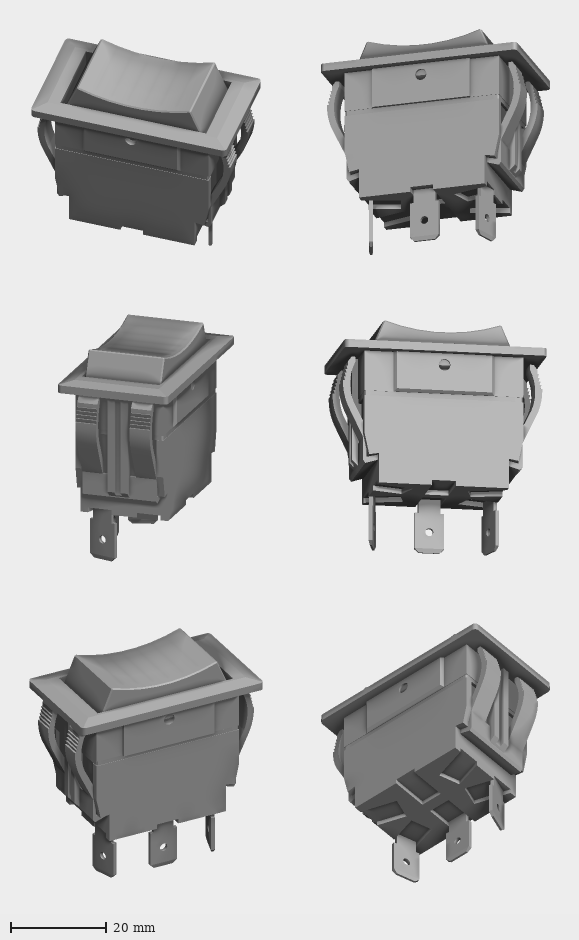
import cadquery as cq


BEZEL_LENGTH = 43.2
BEZEL_WIDTH = 24.5
BEZEL_EDGE_HEIGHT = 1.7
BEZEL_HEIGHT = 2.3
BEZEL_SLOPE_RUN = 2.9
BEZEL_CORNER_RADIUS = 0.9

OPENING_LENGTH = 32.2
OPENING_WIDTH = 17.4
POCKET_FLOOR_Z = -4.6

BODY_HALF_X = 16.97
BODY_HALF_Y = 9.75
SLANT_TOP_Z = -17.75
SLANT_END_X = 15.95
SLANT_END_Z = -22.4
LEDGE_INNER_Z = -22.05
BASE_HALF_X = 13.85
BASE_Z = -28.45

BAND_TOP_Z = -8.6
BAND_BOTTOM_Z = -9.65
BAND_DEPTH = 0.1
BAND_CORNER = 0.28

PANEL_LENGTH = 21.55
PANEL_FACE_Y = 10.4
PANEL_BEVEL = 0.6

RIB_HALF_X = 18.2
RIB_WIDTH = 4.5
RIB_CHAMFER_Z = -21.85
RIB_GROOVE_WIDTH = 1.4
RIB_GROOVE_FLOOR_X = 17.35

ROCKER_WIDTH = 16.95
ROCKER_TIP_X = 12.5
ROCKER_TIP_Z = 7.2
ROCKER_DIP_Z = 5.1
ROCKER_SHOULDER_X = 15.5
ROCKER_SHOULDER_Z = 0.25
ROCKER_BOTTOM_Z = -4.15
ROCKER_EDGE_BEVEL = 0.28

PIVOT_DIAMETER = 2.5
PIVOT_Z = -2.5
PIVOT_TIP_Y = 9.95
PIVOT_LEAD_IN_DEPTH = 1.0
PIVOT_LEAD_IN_HEIGHT = 0.65

CLIP_WIDTH = 16.45
CLIP_PLATE_TOP_Z = -18.4
CLIP_PLATE_THICKNESS = 0.75
CLIP_SEAT_X = BODY_HALF_X - CLIP_PLATE_THICKNESS
CLIP_PLATE_BOTTOM_Z = -23.3
CLIP_HEEL = (16.5, -23.95)
CLIP_TOE_BOTTOM_Z = -23.15
CLIP_FOOT_ROOT_Z = -22.6

FINGER_WIDTH = 4.5
FINGER_TIP_INNER = (18.65, -1.05)
FINGER_TIP_OUTER = (19.45, -1.05)
FINGER_TIP_SHOULDER = (20.25, -2.1)
FINGER_OUTER_BULGE = (21.15, -8.4)
FINGER_OUTER_BEND = (19.85, -12.4)
FINGER_ROOT_Z = -16.38
FINGER_INNER_BEND = (18.95, -11.0)
FINGER_INNER_BULGE = (19.8, -6.7)
FINGER_INNER_TOP = (18.65, -2.1)
TOOTH_COUNT = 5
TOOTH_PITCH = 0.8
TOOTH_TOP_Z = -3.05
TOOTH_FIRST_CREST_X = 20.55
TOOTH_CREST_STEP = 0.2
TOOTH_DEPTH = 0.25

BLADE_WIDTH = 6.35
BLADE_THICKNESS = 0.85
BLADE_BOTTOM_Z = -38.85
BLADE_SHOULDER_Z = -30.3
BLADE_POINT_HEIGHT = 0.9
BLADE_EDGE_TAPER = 0.2
BLADE_HOLE_DIAMETER = 1.7
BLADE_HOLE_Z = -34.4
NECK_WIDTH = 4.75
SLOT_WIDTH = 5.05
SLOT_INNER_REACH = 6.25
SLOT_OUTER_REACH = 3.7
SLOT_TOP_Z = -27.35
END_TERMINAL_Y = 5.05
MIDDLE_TERMINAL_Y = 7.5
TERMINAL_SPACING = 12.6
TERMINAL_FAN_ANGLE = 17.0


def block(x_min, x_max, y_min, y_max, z_min, z_max):
    """Axis-aligned box between the given limits."""
    size = (x_max - x_min, y_max - y_min, z_max - z_min)
    return cq.Workplane("XY").box(*size, centered=False).translate((x_min, y_min, z_min))


def side_profile(width):
    """Workplane in the XZ plane that starts an extrusion of the given width, centred on Y = 0."""
    return cq.Workplane("XZ", origin=(0, width / 2, 0))


def both_ends(body):
    """The +X body together with its mirror image at -X."""
    return [body, body.mirror("YZ")]


def make_bezel():
    rounded_plate = (
        cq.Workplane("XY")
        .rect(BEZEL_LENGTH, BEZEL_WIDTH)
        .extrude(BEZEL_HEIGHT)
        .edges("|Z")
        .fillet(BEZEL_CORNER_RADIUS)
    )
    lower = cq.Workplane("XY").rect(BEZEL_LENGTH, BEZEL_WIDTH).extrude(BEZEL_EDGE_HEIGHT)
    slopes = (
        cq.Workplane("XY", origin=(0, 0, BEZEL_EDGE_HEIGHT))
        .rect(BEZEL_LENGTH, BEZEL_WIDTH)
        .workplane(offset=BEZEL_HEIGHT - BEZEL_EDGE_HEIGHT)
        .rect(BEZEL_LENGTH - 2 * BEZEL_SLOPE_RUN, BEZEL_WIDTH - 2 * BEZEL_SLOPE_RUN)
        .loft(ruled=True)
    )
    return rounded_plate.intersect(lower.union(slopes))


def make_body():
    half_outline = [
        (BODY_HALF_X, 0),
        (BODY_HALF_X, SLANT_TOP_Z),
        (SLANT_END_X, SLANT_END_Z),
        (BASE_HALF_X, LEDGE_INNER_Z),
        (BASE_HALF_X, BASE_Z),
    ]
    mirrored = [(-x, z) for x, z in reversed(half_outline)]
    width = 2 * BODY_HALF_Y
    return side_profile(width).polyline(half_outline + mirrored).close().extrude(width)


def make_band_cut():
    """Frame that is removed to leave the shallow band."""
    height = BAND_TOP_Z - BAND_BOTTOM_Z
    start = cq.Workplane("XY", origin=(0, 0, BAND_BOTTOM_Z))
    outer = start.rect(2 * BODY_HALF_X, 2 * BODY_HALF_Y).extrude(height)
    inner = (
        start.rect(2 * (BODY_HALF_X - BAND_DEPTH), 2 * (BODY_HALF_Y - BAND_DEPTH))
        .extrude(height)
        .edges("|Z")
        .chamfer(BAND_CORNER)
    )
    return outer.cut(inner)


def make_panels():
    """Panel with bevelled edges on the -Y side and a plain one on the +Y side."""
    half_length = PANEL_LENGTH / 2
    front = block(-half_length, half_length, -PANEL_FACE_Y, 0, BAND_TOP_Z, 0)
    bevelled = front.faces("<Y").edges("|Z or <Z").chamfer(PANEL_BEVEL)
    return bevelled.union(block(-half_length, half_length, 0, PANEL_FACE_Y, BAND_TOP_Z, 0))


def make_clip_recess():
    """Recess in the +X wall, between the band and the ledge, that seats the clip."""
    half_width = CLIP_WIDTH / 2
    return block(CLIP_SEAT_X, BODY_HALF_X, -half_width, half_width, SLANT_END_Z, BAND_BOTTOM_Z)


def make_rib():
    """Guide rib at +X; its lower end is chamfered at 45 degrees."""
    rib_bottom_z = RIB_CHAMFER_Z - (RIB_HALF_X - BODY_HALF_X)
    outline = [
        (CLIP_SEAT_X, 0),
        (RIB_HALF_X, 0),
        (RIB_HALF_X, RIB_CHAMFER_Z),
        (BODY_HALF_X, rib_bottom_z),
        (BODY_HALF_X, CLIP_PLATE_TOP_Z),
        (CLIP_SEAT_X, CLIP_PLATE_TOP_Z),
    ]
    rib = side_profile(RIB_WIDTH).polyline(outline).close().extrude(RIB_WIDTH)
    half_groove = RIB_GROOVE_WIDTH / 2
    return rib.cut(block(RIB_GROOVE_FLOOR_X, RIB_HALF_X, -half_groove, half_groove, rib_bottom_z, 0))


def terminal_y(column):
    """Distance of a terminal from the XZ plane; the middle one sits closer to the long side."""
    return END_TERMINAL_Y if column else MIDDLE_TERMINAL_Y


def terminal_slot(column, row):
    """Slot that runs outward through a terminal position and opens through the base wall.

    column is -1, 0 or 1 along X and row is -1 or 1 along Y.
    """
    slot = block(
        -SLOT_WIDTH / 2, SLOT_WIDTH / 2, -SLOT_INNER_REACH, SLOT_OUTER_REACH, BASE_Z, SLOT_TOP_Z
    )
    if column:
        turn = column * (TERMINAL_FAN_ANGLE * row - 90)
    else:
        turn = 90 * (1 - row)
    centre = (column * TERMINAL_SPACING, row * terminal_y(column), 0)
    return slot.rotate((0, 0, 0), (0, 0, 1), turn).translate(centre)


def make_housing():
    housing = make_bezel().union(make_body()).cut(make_band_cut()).union(make_panels())
    for recess in both_ends(make_clip_recess()):
        housing = housing.cut(recess)
    for rib in both_ends(make_rib()):
        housing = housing.union(rib)
    housing = housing.cut(
        block(
            -OPENING_LENGTH / 2, OPENING_LENGTH / 2,
            -OPENING_WIDTH / 2, OPENING_WIDTH / 2,
            POCKET_FLOOR_Z, BEZEL_HEIGHT,
        )
    )
    pivot_hole = (
        cq.Workplane("XZ")
        .center(0, PIVOT_Z)
        .circle(PIVOT_DIAMETER / 2)
        .extrude(PANEL_FACE_Y, both=True)
    )
    housing = housing.cut(pivot_hole)
    for column in (-1, 0, 1):
        for row in (-1, 1):
            housing = housing.cut(terminal_slot(column, row))
    return housing


def make_pivot():
    """Pivot pins on both sides; the lower half of each end is set back below a short slope."""
    radius = PIVOT_DIAMETER / 2
    pins = (
        cq.Workplane("XZ")
        .center(0, PIVOT_Z)
        .circle(radius)
        .extrude(PIVOT_TIP_Y, both=True)
    )
    lead_in = (
        cq.Workplane("YZ", origin=(-radius, 0, 0))
        .polyline([
            (-PIVOT_TIP_Y, PIVOT_Z),
            (-PIVOT_TIP_Y, PIVOT_Z - radius),
            (-PIVOT_TIP_Y + PIVOT_LEAD_IN_DEPTH, PIVOT_Z - radius),
            (-PIVOT_TIP_Y + PIVOT_LEAD_IN_DEPTH, PIVOT_Z - PIVOT_LEAD_IN_HEIGHT),
        ])
        .close()
        .extrude(PIVOT_DIAMETER)
    )
    return pins.cut(lead_in).cut(lead_in.mirror("XZ"))


def make_rocker():
    rocker = (
        side_profile(ROCKER_WIDTH)
        .moveTo(-ROCKER_TIP_X, ROCKER_TIP_Z)
        .threePointArc((0, ROCKER_DIP_Z), (ROCKER_TIP_X, ROCKER_TIP_Z))
        .lineTo(ROCKER_SHOULDER_X, ROCKER_SHOULDER_Z)
        .lineTo(ROCKER_SHOULDER_X, ROCKER_BOTTOM_Z)
        .lineTo(-ROCKER_SHOULDER_X, ROCKER_BOTTOM_Z)
        .lineTo(-ROCKER_SHOULDER_X, ROCKER_SHOULDER_Z)
        .close()
        .extrude(ROCKER_WIDTH)
    )
    above_shoulder = cq.selectors.BoxSelector(
        (-BEZEL_LENGTH, -BEZEL_WIDTH, ROCKER_SHOULDER_Z + ROCKER_EDGE_BEVEL),
        (BEZEL_LENGTH, BEZEL_WIDTH, 2 * ROCKER_TIP_Z),
    )
    return rocker.edges(above_shoulder).chamfer(ROCKER_EDGE_BEVEL).union(make_pivot())


def make_clip():
    """Clip at +X: two toothed fingers that rise from one hooked plate."""
    outline = (
        side_profile(CLIP_WIDTH)
        .moveTo(*FINGER_TIP_INNER)
        .lineTo(*FINGER_TIP_OUTER)
        .lineTo(*FINGER_TIP_SHOULDER)
        .lineTo(FINGER_TIP_SHOULDER[0], TOOTH_TOP_Z)
    )
    for tooth in range(TOOTH_COUNT):
        crest_x = TOOTH_FIRST_CREST_X + tooth * TOOTH_CREST_STEP
        crest_z = TOOTH_TOP_Z - tooth * TOOTH_PITCH
        outline = outline.lineTo(crest_x, crest_z)
        if tooth < TOOTH_COUNT - 1:
            outline = outline.lineTo(crest_x - TOOTH_DEPTH, crest_z - TOOTH_PITCH)
    outline = (
        outline.threePointArc(FINGER_OUTER_BULGE, FINGER_OUTER_BEND)
        .lineTo(BODY_HALF_X, CLIP_PLATE_TOP_Z)
        .lineTo(BODY_HALF_X, CLIP_PLATE_BOTTOM_Z)
        .lineTo(*CLIP_HEEL)
        .lineTo(BASE_HALF_X, CLIP_TOE_BOTTOM_Z)
        .lineTo(BASE_HALF_X, LEDGE_INNER_Z)
        .lineTo(CLIP_SEAT_X, CLIP_FOOT_ROOT_Z)
        .lineTo(CLIP_SEAT_X, FINGER_ROOT_Z)
        .lineTo(*FINGER_INNER_BEND)
        .threePointArc(FINGER_INNER_BULGE, FINGER_INNER_TOP)
        .close()
    )
    clip = outline.extrude(CLIP_WIDTH)
    half_gap = CLIP_WIDTH / 2 - FINGER_WIDTH
    return clip.cut(
        block(BASE_HALF_X, BEZEL_LENGTH / 2, -half_gap, half_gap, CLIP_PLATE_TOP_Z, 0)
    )


def make_terminal(column):
    """Blade terminal with a neck, a hole and a tapered point; column is -1, 0 or 1 along X."""
    half_thickness = BLADE_THICKNESS / 2
    point_top_z = BLADE_BOTTOM_Z + BLADE_POINT_HEIGHT
    blade = block(
        -BLADE_WIDTH / 2, BLADE_WIDTH / 2,
        -half_thickness, half_thickness,
        point_top_z, BLADE_SHOULDER_Z,
    )
    point = (
        cq.Workplane("XY", origin=(0, 0, point_top_z))
        .rect(BLADE_WIDTH, BLADE_THICKNESS)
        .workplane(offset=-BLADE_POINT_HEIGHT)
        .rect(BLADE_WIDTH - 2 * BLADE_POINT_HEIGHT, BLADE_THICKNESS - 2 * BLADE_EDGE_TAPER)
        .loft(ruled=True)
    )
    neck = block(
        -NECK_WIDTH / 2, NECK_WIDTH / 2,
        -half_thickness, half_thickness,
        BLADE_SHOULDER_Z, SLOT_TOP_Z,
    )
    hole = (
        cq.Workplane("XZ")
        .center(0, BLADE_HOLE_Z)
        .circle(BLADE_HOLE_DIAMETER / 2)
        .extrude(BLADE_THICKNESS, both=True)
    )
    turn = column * (TERMINAL_FAN_ANGLE - 90)
    return (
        blade.union(point)
        .union(neck)
        .cut(hole)
        .rotate((0, 0, 0), (0, 0, 1), turn)
        .translate((column * TERMINAL_SPACING, terminal_y(column), 0))
    )


clips = both_ends(make_clip())
housing = make_housing()
rocker = make_rocker()
terminals = [make_terminal(column) for column in (-1, 0, 1)]

result = cq.Compound.makeCompound(
    [housing.val(), rocker.val()]
    + [clip.val() for clip in clips]
    + [terminal.val() for terminal in terminals]
)